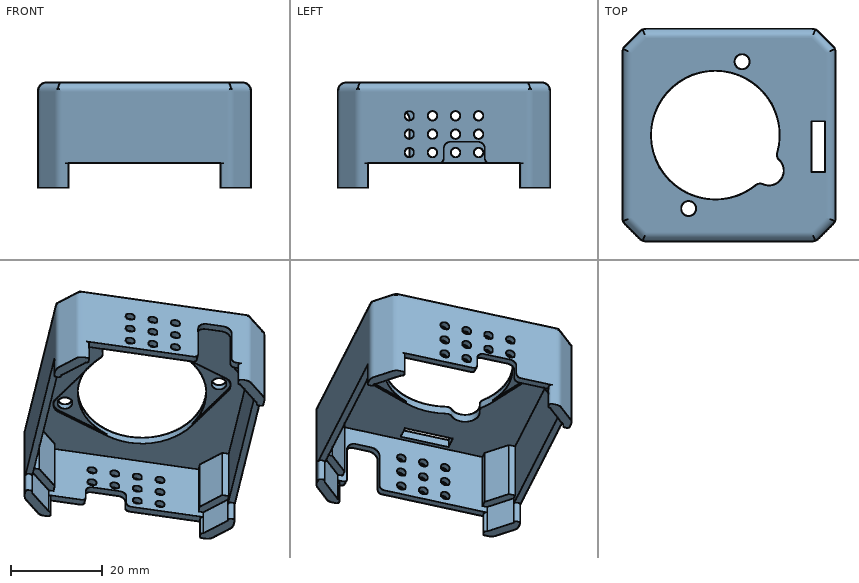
import cadquery as cq
import math

LENGTH_X = 46.5
LENGTH_Y = 46.35
HEIGHT = 23.0
CORNER_CUT = 4.35
EDGE_RADIUS = 2.0

WALL = 1.5
ROOF = 2.0
CORNER_WALL = 2.25
WALL_BOTTOM = 5.4
LEG_GAP = 33.1
LEG_TIP_RADIUS = 0.55

BOARD = 1.6
POST_REACH = 7.1
POST_CUT = 2.95

DIAL_X = -2.98
DIAL_RADIUS = 14.0
LOBE_RADIUS = 3.2
LOBE_ANGLE = -33.5
LOBE_BLEND = 1.5
SCREW_DIAMETER = 3.2
SCREW_CIRCLE_RADIUS = 17.0
SCREW_ANGLES = (70.0, 250.0)

SEAT_DEPTH = 0.5
EAR_RADIUS = 2.5

SLOT_LENGTH_X = 2.95
SLOT_LENGTH_Y = 10.95
SLOT_X = 19.45
SLOT_Y = -2.5

VENT_DIAMETER = 2.0
VENT_COLUMNS = 4
VENT_ROWS = 3
VENT_PITCH_Y = 5.0
VENT_PITCH_Z = 4.0
VENT_MIDDLE_Z = 11.7

FLARE_RADIUS = 1.0
LEFT_NOTCH_WIDTH = 8.95
LEFT_NOTCH_HEIGHT = 4.65
LEFT_NOTCH_Y = -4.4
LEFT_NOTCH_RADIUS = 1.5
RIGHT_NOTCH_WIDTH = 7.45
RIGHT_NOTCH_HEIGHT = 11.5
RIGHT_NOTCH_Y = 11.25
RIGHT_NOTCH_RADIUS = 2.0

HALF_X = LENGTH_X / 2
HALF_Y = LENGTH_Y / 2
CORNERS = [(sx, sy) for sx in (-1, 1) for sy in (-1, 1)]


def cut_corner_block(half_x, half_y, corner_cut, height):
    """Rectangular block with its four vertical edges chamfered."""
    block = cq.Workplane("XY").rect(2 * half_x, 2 * half_y).extrude(height)
    return block.edges("|Z").chamfer(corner_cut)


def outer_body():
    """Mitred roll around the roof over uprights that are rounded on their own."""
    block = cut_corner_block(HALF_X, HALF_Y, CORNER_CUT, HEIGHT)
    rounded_top = block.faces(">Z").edges().fillet(EDGE_RADIUS)
    rounded_sides = block.edges("|Z").fillet(EDGE_RADIUS)
    return rounded_top.intersect(rounded_sides)


def cavity():
    inner_cut = CORNER_CUT + CORNER_WALL * math.sqrt(2) - 2 * WALL
    return cut_corner_block(HALF_X - WALL, HALF_Y - WALL, inner_cut, HEIGHT - ROOF)


def between_legs():
    """Cross-shaped space below the walls that leaves a leg at each corner."""
    across = cq.Workplane("XY").rect(2 * LENGTH_X, LEG_GAP).extrude(WALL_BOTTOM)
    along = cq.Workplane("XY").rect(LEG_GAP, 2 * LENGTH_Y).extrude(WALL_BOTTOM)
    return across.union(along)


def leg_tip_edges(span_x, span_y):
    """Selector for the upright leg edges inside a centred rectangle below the walls."""
    corner = (span_x / 2, span_y / 2)
    return cq.selectors.BoxSelector((-corner[0], -corner[1], 0), (*corner, WALL_BOTTOM))


def corner_post(sx, sy):
    """Five-sided post filling a corner from just above the board to the roof."""
    bottom = WALL_BOTTOM + BOARD
    x_side = HALF_X - POST_REACH
    y_side = HALF_Y - POST_REACH
    x_cut = HALF_X - POST_CUT
    y_cut = HALF_Y - POST_CUT
    outline = [(x_side, HALF_Y), (x_side, y_cut), (x_cut, y_side), (HALF_X, y_side), (HALF_X, HALF_Y)]
    points = [(sx * x, sy * y) for x, y in outline]
    base = cq.Workplane("XY").workplane(offset=bottom)
    return base.polyline(points).close().extrude(HEIGHT - ROOF - bottom)


def polar(radius, degrees):
    """Point at a distance and direction from the dial centre."""
    angle = math.radians(degrees)
    return (DIAL_X + radius * math.cos(angle), radius * math.sin(angle))


def dial_opening():
    lobe_x, lobe_y = polar(DIAL_RADIUS, LOBE_ANGLE)
    dial = cq.Workplane("XY").center(DIAL_X, 0).circle(DIAL_RADIUS).extrude(2 * HEIGHT)
    lobe = cq.Workplane("XY").center(lobe_x, lobe_y).circle(LOBE_RADIUS).extrude(2 * HEIGHT)
    reach = LOBE_RADIUS + LOBE_BLEND / 2
    around_lobe = cq.selectors.BoxSelector(
        (lobe_x - reach, lobe_y - reach, 0),
        (lobe_x + reach, lobe_y + reach, 2 * HEIGHT),
    )
    return dial.union(lobe).edges("|Z").edges(around_lobe).fillet(LOBE_BLEND)


def flange_ear(angle):
    """Seat for one ear: a round end joined to the dial circle by its two tangent lines."""
    spread = math.degrees(math.acos((DIAL_RADIUS - EAR_RADIUS) / SCREW_CIRCLE_RADIUS))
    ear_x, ear_y = polar(SCREW_CIRCLE_RADIUS, angle)
    ear_tangents = []
    for side in (-1, 1):
        tangent = math.radians(angle + side * spread)
        ear_tangents.append((ear_x + EAR_RADIUS * math.cos(tangent), ear_y + EAR_RADIUS * math.sin(tangent)))
    underside = cq.Workplane("XY").workplane(offset=HEIGHT - ROOF)
    return (
        underside.moveTo(*polar(DIAL_RADIUS, angle - spread))
        .lineTo(*ear_tangents[0])
        .threePointArc(polar(SCREW_CIRCLE_RADIUS + EAR_RADIUS, angle), ear_tangents[1])
        .lineTo(*polar(DIAL_RADIUS, angle + spread))
        .close()
        .extrude(SEAT_DEPTH)
    )


def screw_holes():
    points = [polar(SCREW_CIRCLE_RADIUS, angle) for angle in SCREW_ANGLES]
    return cq.Workplane("XY").pushPoints(points).circle(SCREW_DIAMETER / 2).extrude(HEIGHT)


def roof_slot():
    return cq.Workplane("XY").center(SLOT_X, SLOT_Y).rect(SLOT_LENGTH_X, SLOT_LENGTH_Y).extrude(HEIGHT)


def vents(x_side, columns):
    """Grid of holes through one X wall, counted from the -Y side."""
    first_y = -(VENT_COLUMNS - 1) / 2 * VENT_PITCH_Y
    first_z = VENT_MIDDLE_Z - (VENT_ROWS - 1) / 2 * VENT_PITCH_Z
    points = [
        (first_y + column * VENT_PITCH_Y, first_z + row * VENT_PITCH_Z)
        for column in range(columns)
        for row in range(VENT_ROWS)
    ]
    return cq.Workplane("YZ").pushPoints(points).circle(VENT_DIAMETER / 2).extrude(x_side * LENGTH_X)


def wall_notch(x_side, y_middle, width, height, radius):
    """Notch with rounded upper corners and a mouth that flares out at the wall's bottom edge."""
    half = width / 2
    corner = radius * (1 - math.sqrt(0.5))
    flare = FLARE_RADIUS * (1 - math.sqrt(0.5))
    return (
        cq.Workplane("YZ", origin=(0, y_middle, WALL_BOTTOM))
        .moveTo(-half - FLARE_RADIUS, 0)
        .threePointArc((-half - flare, flare), (-half, FLARE_RADIUS))
        .lineTo(-half, height - radius)
        .threePointArc((-half + corner, height - corner), (-half + radius, height))
        .lineTo(half - radius, height)
        .threePointArc((half - corner, height - corner), (half, height - radius))
        .lineTo(half, FLARE_RADIUS)
        .threePointArc((half + flare, flare), (half + FLARE_RADIUS, 0))
        .close()
        .extrude(x_side * LENGTH_X)
    )


envelope = outer_body()
result = envelope.cut(cavity()).cut(between_legs())
tip_span = LEG_GAP + LEG_TIP_RADIUS
for span_x, span_y in [(2 * LENGTH_X, tip_span), (tip_span, 2 * LENGTH_Y)]:
    result = result.edges("|Z").edges(leg_tip_edges(span_x, span_y)).fillet(LEG_TIP_RADIUS)
for sx, sy in CORNERS:
    result = result.union(corner_post(sx, sy).intersect(envelope))

for angle in SCREW_ANGLES:
    result = result.cut(flange_ear(angle))
result = result.cut(dial_opening()).cut(screw_holes()).cut(roof_slot())

result = result.cut(vents(-1, VENT_COLUMNS)).cut(vents(1, VENT_COLUMNS - 1))
result = result.cut(
    wall_notch(-1, LEFT_NOTCH_Y, LEFT_NOTCH_WIDTH, LEFT_NOTCH_HEIGHT, LEFT_NOTCH_RADIUS)
)
result = result.cut(
    wall_notch(1, RIGHT_NOTCH_Y, RIGHT_NOTCH_WIDTH, RIGHT_NOTCH_HEIGHT, RIGHT_NOTCH_RADIUS)
)